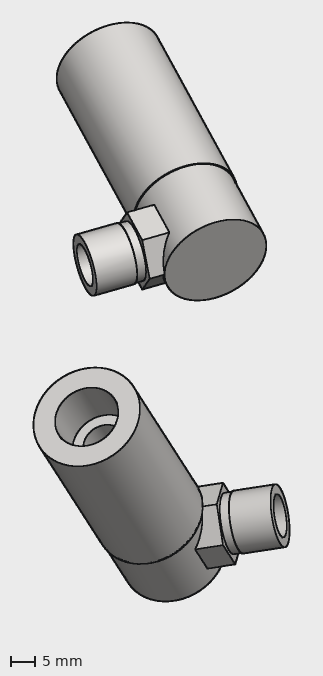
import cadquery as cq
import math


total_length = 60.0
barrel_diameter = 23.0
head_diameter = 22.5
head_length = 17.0
head_end_x = head_length / 2
barrel_end_x = head_end_x - total_length
barrel_length = total_length - head_length

hex_across_flats = 14.7
hex_across_corners = hex_across_flats / math.cos(math.radians(30))
neck_diameter = 12.8
spigot_diameter = 13.15
spigot_reach = 25.5
spigot_length = 9.0
neck_length = 2.0
neck_reach = spigot_reach - spigot_length
hex_reach = neck_reach - neck_length

bore_diameter = 9.0
socket_diameter = 13.6
socket_depth = 12.0


def cylinder_along_x(diameter, start_x, length):
    """Cylinder on the X axis, growing towards +X from start_x."""
    return cq.Workplane("YZ", origin=(start_x, 0, 0)).circle(diameter / 2).extrude(length)


def cylinder_along_y(diameter, start_y, length):
    """Cylinder on the Y axis, growing towards -Y from start_y."""
    return cq.Workplane("XZ", origin=(0, start_y, 0)).circle(diameter / 2).extrude(length)


def make_body():
    """Barrel with the slightly slimmer head behind it."""
    barrel = cylinder_along_x(barrel_diameter, barrel_end_x, barrel_length)
    head = cylinder_along_x(head_diameter, -head_length / 2, head_length)
    return barrel.union(head)


def make_side_outlet():
    """Hexagon with corners on the X direction, then a neck and the spigot."""
    hexagon = cq.Workplane("XZ").polygon(6, hex_across_corners).extrude(hex_reach)
    neck = cylinder_along_y(neck_diameter, -hex_reach, neck_length)
    spigot = cylinder_along_y(spigot_diameter, -neck_reach, spigot_length)
    return hexagon.union(neck).union(spigot)


def make_passage():
    """Two equal bores meeting in a mitred corner, with a wider socket at the barrel end."""
    bore_radius = bore_diameter / 2
    barrel_bore = cylinder_along_x(bore_diameter, barrel_end_x, -barrel_end_x)
    spigot_bore = cylinder_along_y(bore_diameter, 0, spigot_reach)
    corner = cylinder_along_x(bore_diameter, -bore_radius, bore_diameter).intersect(
        cylinder_along_y(bore_diameter, bore_radius, bore_diameter)
    )
    socket = cylinder_along_x(socket_diameter, barrel_end_x, socket_depth)
    return barrel_bore.union(spigot_bore).union(corner).union(socket)


result = make_body().union(make_side_outlet()).cut(make_passage())